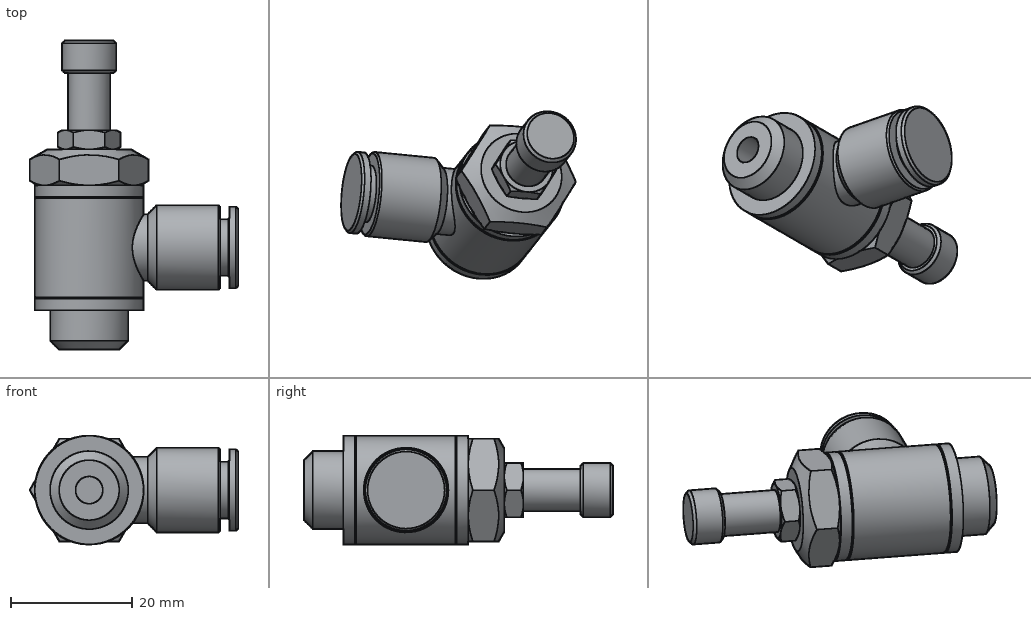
import cadquery as cq
import math


stub_diameter = 12.9
stub_length = 6.51
stub_chamfer = 1.5
bore_diameter = 4.5
bore_depth = stub_length

body_diameter = 18.0
body_length = 20.6
collar_length = 1.9
groove_width = 0.25
groove_depth = 0.1

large_hex_flats = 17.0
large_hex_height = 5.95
large_hex_top_diameter = 13.8
small_hex_flats = 9.0
small_hex_height = 3.15
hex_chamfer_angle = 30.0

stem_diameter = 7.0
stem_length = 9.4
head_diameter = 9.0
head_length = 5.4
head_chamfer = 0.5

outlet_y = 10.35
outlet_neck_diameter = 11.0
outlet_diameter = 14.0
outlet_cone_start = 9.65
outlet_end = 21.6
outlet_chamfer = 0.3
release_stem_diameter = 9.4
release_stem_flare = 0.2
release_flange_diameter = 13.5
release_flange_start = 23.1
release_end = 24.6
release_chamfer = 0.4

body_top = body_length
large_hex_top = body_top + large_hex_height
small_hex_top = large_hex_top + small_hex_height
stem_top = small_hex_top + stem_length


def cylinder_y(diameter, start, end):
    """Cylinder on the main axis between two Y positions."""
    plane = cq.Workplane("XZ", origin=(0, start, 0))
    return plane.circle(diameter / 2).extrude(start - end)


def chamfered_hex(flats, start, height, bottom_diameter, top_diameter):
    """Hexagonal prism with corners on +/-X, trimmed by a cone at each end."""
    corner_diameter = flats / math.cos(math.radians(30))
    corner_radius = corner_diameter / 2
    slope = math.tan(math.radians(hex_chamfer_angle))
    bottom_radius = bottom_diameter / 2
    top_radius = top_diameter / 2
    end = start + height
    prism = (
        cq.Workplane("XZ", origin=(0, start, 0))
        .polygon(6, corner_diameter)
        .extrude(-height)
    )
    envelope = (
        cq.Workplane("XY")
        .moveTo(0, start)
        .lineTo(bottom_radius, start)
        .lineTo(corner_radius, start + (corner_radius - bottom_radius) * slope)
        .lineTo(corner_radius, end - (corner_radius - top_radius) * slope)
        .lineTo(top_radius, end)
        .lineTo(0, end)
        .close()
        .revolve(360, (0, 0, 0), (0, 1, 0))
    )
    return prism.intersect(envelope)


def make_stub():
    stub = cylinder_y(stub_diameter, -stub_length, 0)
    return stub.faces("<Y").chamfer(stub_chamfer)


def make_body():
    """Barrel with a shallow groove where each collar meets it."""
    body = cylinder_y(body_diameter, 0, body_top)
    groove_floor = body_diameter - 2 * groove_depth
    for start in (collar_length, body_top - collar_length - groove_width):
        end = start + groove_width
        ring = cylinder_y(body_diameter, start, end).cut(cylinder_y(groove_floor, start, end))
        body = body.cut(ring)
    return body


def make_screw():
    """Stem and chamfered head of the adjusting screw."""
    stem = cylinder_y(stem_diameter, small_hex_top, stem_top)
    head = cylinder_y(head_diameter, stem_top, stem_top + head_length)
    return stem.union(head.faces("<Y or >Y").chamfer(head_chamfer))


def make_outlet():
    """Solid of revolution about the outlet axis, starting at the main axis."""
    neck_radius = outlet_neck_diameter / 2
    outlet_radius = outlet_diameter / 2
    stem_radius = release_stem_diameter / 2
    flange_radius = release_flange_diameter / 2
    cone_end = outlet_cone_start + outlet_radius - neck_radius
    return (
        cq.Workplane("XY", origin=(0, outlet_y, 0))
        .lineTo(0, neck_radius)
        .lineTo(outlet_cone_start, neck_radius)
        .lineTo(cone_end, outlet_radius)
        .lineTo(outlet_end - outlet_chamfer, outlet_radius)
        .lineTo(outlet_end, outlet_radius - outlet_chamfer)
        .lineTo(outlet_end, stem_radius)
        .lineTo(release_flange_start - release_stem_flare, stem_radius)
        .lineTo(release_flange_start, stem_radius + release_stem_flare)
        .lineTo(release_flange_start, flange_radius)
        .lineTo(release_end - release_chamfer, flange_radius)
        .lineTo(release_end, flange_radius - release_chamfer)
        .lineTo(release_end, 0)
        .close()
        .revolve(360, (0, 0, 0), (1, 0, 0))
    )


large_hex = chamfered_hex(
    large_hex_flats, body_top, large_hex_height, large_hex_flats, large_hex_top_diameter
)
small_hex = chamfered_hex(
    small_hex_flats, large_hex_top, small_hex_height, small_hex_flats, small_hex_flats
)
bore = cylinder_y(bore_diameter, -stub_length, bore_depth - stub_length)

result = (
    make_body()
    .union(make_stub())
    .union(large_hex)
    .union(small_hex)
    .union(make_screw())
    .union(make_outlet())
    .cut(bore)
)